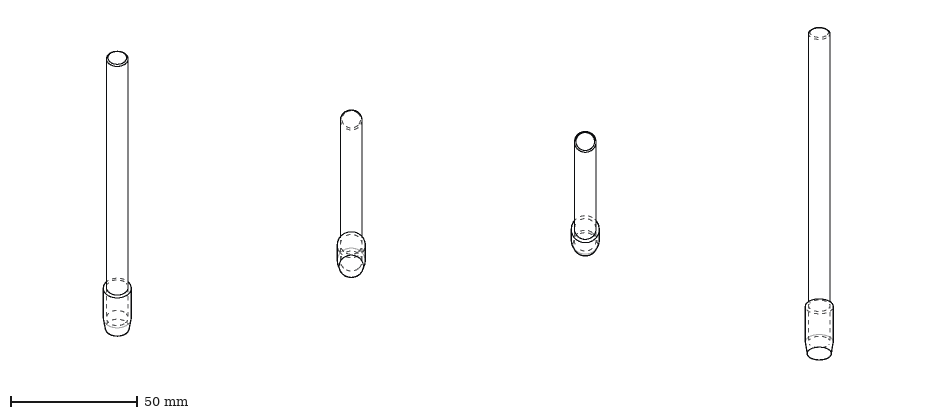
import cadquery as cq

TOTAL_HEIGHT = 150.0
CAP_DIAMETER = 11.1
ROD_DIAMETER = 8.5

ROD_CHAMFER = 0.6

CAP_HEIGHT = 22.4
CAP_TOP_SLOPE = 0.3
TIP_HEIGHT = 5.4
TIP_DIAMETER = 9.6

SOCKET_FLOOR = TIP_HEIGHT


def make_rod():
    """Round rod with a chamfered top end, seated on the socket floor."""
    rod_length = TOTAL_HEIGHT - SOCKET_FLOOR
    return (
        cq.Workplane("XY", origin=(0, 0, SOCKET_FLOOR))
        .circle(ROD_DIAMETER / 2)
        .extrude(rod_length)
        .faces(">Z")
        .chamfer(ROD_CHAMFER)
    )


def make_end_cap():
    """Revolved cap with a tapered tip, a sloping top face and a blind socket for the rod."""
    cap_radius = CAP_DIAMETER / 2
    rod_radius = ROD_DIAMETER / 2
    tip_radius = TIP_DIAMETER / 2
    return (
        cq.Workplane("XZ")
        .moveTo(0, 0)
        .lineTo(tip_radius, 0)
        .lineTo(cap_radius, TIP_HEIGHT)
        .lineTo(cap_radius, CAP_HEIGHT - CAP_TOP_SLOPE)
        .lineTo(rod_radius, CAP_HEIGHT)
        .lineTo(rod_radius, SOCKET_FLOOR)
        .lineTo(0, SOCKET_FLOOR)
        .close()
        .revolve(360, (0, 0, 0), (0, 1, 0))
    )


rod = make_rod()
end_cap = make_end_cap()

result = cq.Compound.makeCompound([rod.val(), end_cap.val()])